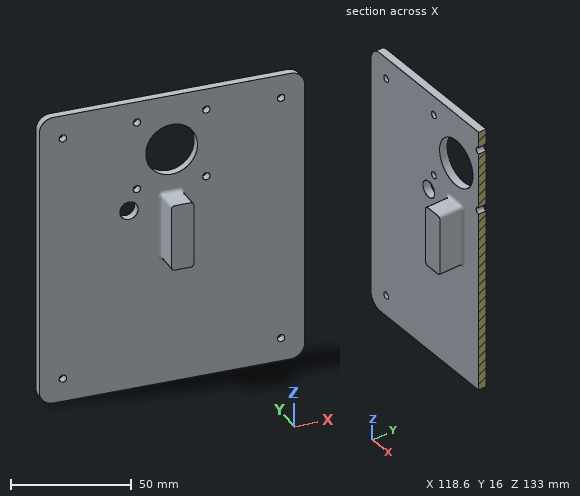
import cadquery as cq

plate_width = 118.6
plate_height = 133.0
plate_thickness = 4.0
plate_corner_radius = 6.3

mount_hole_diameter = 3.2
mount_hole_inset = 10.6

feature_center_x = -0.15

bore_diameter = 23.0
bore_center_z = 41.4
bore_screw_diameter = 3.2
bore_screw_spacing = 31.0

side_hole_diameter = 8.0
side_hole_x = -19.2
side_hole_z = 16.5

post_width = 10.0
post_height = 30.0
post_length = 12.0
post_center_z = 6.6
post_corner_radius = 1.5
post_foot_radius = 1.5
foot_margin = 1.0


def make_plate():
    return (
        cq.Workplane("XZ")
        .rect(plate_width, plate_height)
        .extrude(-plate_thickness)
        .edges("|Y")
        .fillet(plate_corner_radius)
    )


def make_post():
    return (
        cq.Workplane("XZ")
        .center(feature_center_x, post_center_z)
        .rect(post_width, post_height)
        .extrude(post_length)
        .edges("|Y")
        .fillet(post_corner_radius)
    )


def add_post(plate):
    """Join the post to the plate and round the corner where they meet."""
    reach_x = post_width / 2 + foot_margin
    reach_z = post_height / 2 + foot_margin
    foot_edges = cq.selectors.BoxSelector(
        (feature_center_x - reach_x, -foot_margin, post_center_z - reach_z),
        (feature_center_x + reach_x, foot_margin, post_center_z + reach_z),
    )
    return plate.union(make_post()).edges(foot_edges).fillet(post_foot_radius)


def through_holes(points, diameter):
    """Cylinders through the plate at the given (x, z) points."""
    return (
        cq.Workplane("XZ")
        .pushPoints(points)
        .circle(diameter / 2)
        .extrude(-plate_thickness)
    )


def rectangle_corners(width, height, center_x=0, center_z=0):
    """Corner points (x, z) of a rectangle."""
    return [
        (center_x + side_x * width / 2, center_z + side_z * height / 2)
        for side_x in (-1, 1)
        for side_z in (-1, 1)
    ]


mount_points = rectangle_corners(
    plate_width - 2 * mount_hole_inset,
    plate_height - 2 * mount_hole_inset,
)
bore_screw_points = rectangle_corners(
    bore_screw_spacing,
    bore_screw_spacing,
    feature_center_x,
    bore_center_z,
)

result = (
    add_post(make_plate())
    .cut(through_holes(mount_points, mount_hole_diameter))
    .cut(through_holes([(feature_center_x, bore_center_z)], bore_diameter))
    .cut(through_holes(bore_screw_points, bore_screw_diameter))
    .cut(through_holes([(side_hole_x, side_hole_z)], side_hole_diameter))
)